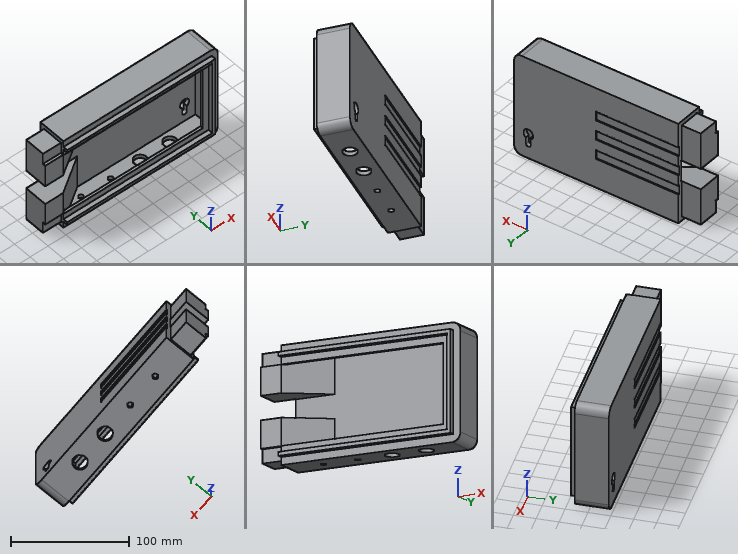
import cadquery as cq


total_length = 192.2
block_overhang = 20.0
body_depth = 30.0
body_height = 104.5
corner_radius = 8.0
wall = 4.5
end_wall = 3.0
front_plate = 2.9
mid_height = body_height / 2

lip_depth = 5.0
lip_inset = 7.0
lip_width = 3.5
window_inset = 16.7

block_gap = 21.3
block_clearance = 0.48
ramp_end = 57.5

keyhole_x = 177.3
keyhole_z = 25.2
keyhole_diameter = 10.0
keyhole_slot_width = 5.0
keyhole_slot_drop = 10.4

hole_diameters = [5.0, 5.0, 13.0, 13.0]
first_hole_x = 52.5
hole_pitch = 33.0

groove_depth = 1.2
groove_width = 9.0
groove_length = 86.5
groove_pitch = 20.2
middle_groove_z = 55.0
groove_count = 3


def box(x_start, x_end, depth_start, depth_end, z_start, z_end):
    """Box between two X, two Z and two depths measured from the back face."""
    size = (x_end - x_start, depth_end - depth_start, z_end - z_start)
    return cq.Workplane("XY").box(*size, centered=False).translate((x_start, -depth_end, z_start))


def open_end_box(inset, depth_start, depth_end):
    """Box inset from the three closed sides of the housing and flush with its open end."""
    return box(block_overhang, total_length - inset, depth_start, depth_end, inset, body_height - inset)


def make_housing():
    body = open_end_box(0, 0, body_depth).edges("|Y and >X").fillet(corner_radius)
    lip = open_end_box(lip_inset, body_depth, body_depth + lip_depth)
    lip_opening = open_end_box(lip_inset + lip_width, body_depth, body_depth + lip_depth)
    cavity = box(
        block_overhang,
        total_length - end_wall,
        wall,
        body_depth - front_plate,
        wall,
        body_height - wall,
    )
    window = open_end_box(window_inset, wall, body_depth)
    return body.union(lip.cut(lip_opening)).cut(cavity).cut(window)


def ramped_slab(front_depth, z_start, z_end):
    """Slab whose front slopes from the open end down to the back wall of the cavity."""
    back_depth = wall + block_clearance
    step_depth = body_depth - block_clearance
    ramp_length = ramp_end - block_overhang
    ramp_start = block_overhang + ramp_length * (step_depth - front_depth) / (step_depth - wall)
    outline = [
        (0, -back_depth),
        (block_overhang, -back_depth),
        (block_overhang, -wall),
        (ramp_end, -wall),
        (ramp_start, -front_depth),
        (0, -front_depth),
    ]
    slab = cq.Workplane("XY").polyline(outline).close().extrude(z_end - z_start)
    return slab.translate((0, 0, z_start))


def make_lower_block():
    block_top = mid_height - block_gap / 2
    base = ramped_slab(body_depth - front_plate - block_clearance, wall, block_top)
    raised_step = ramped_slab(body_depth - block_clearance, window_inset, block_top)
    return base.union(raised_step)


def make_keyhole():
    slot_end_z = keyhole_z - keyhole_slot_drop
    half_slot = keyhole_slot_width / 2
    head = cq.Workplane("XZ").center(keyhole_x, keyhole_z).circle(keyhole_diameter / 2).extrude(wall)
    slot_end = cq.Workplane("XZ").center(keyhole_x, slot_end_z).circle(half_slot).extrude(wall)
    slot = box(keyhole_x - half_slot, keyhole_x + half_slot, 0, wall, slot_end_z, keyhole_z)
    return head.union(slot).union(slot_end)


housing = make_housing()
lower_block = make_lower_block()
upper_block = lower_block.mirror("XY", (0, 0, mid_height))
result = housing.union(lower_block).union(upper_block).cut(make_keyhole())

for index, diameter in enumerate(hole_diameters):
    hole_x = first_hole_x + index * hole_pitch
    hole = cq.Workplane("XY").center(hole_x, -body_depth / 2).circle(diameter / 2).extrude(wall)
    result = result.cut(hole)

for index in range(groove_count):
    groove_z = middle_groove_z + (index - (groove_count - 1) / 2) * groove_pitch
    groove = box(
        block_overhang,
        block_overhang + groove_length,
        0,
        groove_depth,
        groove_z - groove_width / 2,
        groove_z + groove_width / 2,
    )
    result = result.cut(groove)